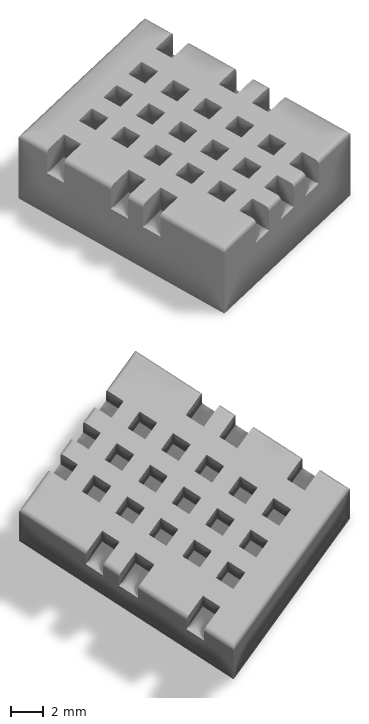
import cadquery as cq

length = 16.0
width = 12.7
height = 5.7
edge_radius = 0.3

recess_depth = 2.02

pitch = 2.5
pocket_size = 1.31
columns = 6
rows = 3
last_column_x = (length - pocket_size) / 2
column_x = [last_column_x - pitch * (columns - 1 - i) for i in range(columns)]
row_y = [pitch * (j - (rows - 1) / 2) for j in range(rows)]

front_notches = [
    (-5.12, 1.35, 1.73),
    (-0.15, 1.35, 1.8),
    (2.35, 1.35, 1.8),
]
back_notches = [
    (-5.14, 1.3, 1.8),
    (-0.18, 1.4, 1.8),
    (2.37, 1.3, 1.8),
]


def recess(x, y, size_x, size_y):
    """Rectangular cutter centred on (x, y), sunk from the top face."""
    floor_z = height - recess_depth
    return cq.Workplane("XY", origin=(x, y, floor_z)).rect(size_x, size_y).extrude(recess_depth)


def notch(x, side, notch_width, reach):
    """Cutter reaching inward from the -Y face (side = -1) or the +Y face (side = 1)."""
    return recess(x, side * (width - reach) / 2, notch_width, reach)


result = cq.Workplane("XY").box(length, width, height, centered=(True, True, False))
result = result.faces(">Z").edges().fillet(edge_radius)

for x in column_x:
    for y in row_y:
        result = result.cut(recess(x, y, pocket_size, pocket_size))

for side, notches in ((-1, front_notches), (1, back_notches)):
    for x, notch_width, reach in notches:
        result = result.cut(notch(x, side, notch_width, reach))